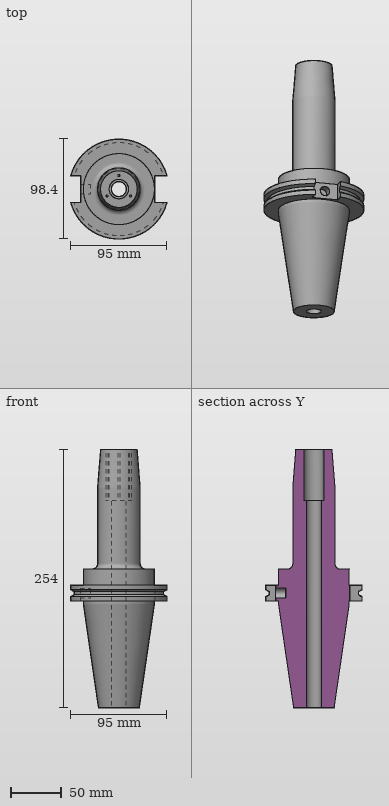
import cadquery as cq
import math

GAUGE_LENGTH = 152.4
GAUGE_DIAMETER = 69.85
TAPER_LENGTH = 101.6
TAPER_RATIO = 7 / 24

FLANGE_DIAMETER = 98.425
FLANGE_BOTTOM = 3.175
FLANGE_TOP = 19.05
GROOVE_CENTER = 11.05
GROOVE_OPENING = 6.9
GROOVE_DEPTH = 3.4
GROOVE_HALF_ANGLE = 30

COLLAR_TOP = 35.0
SHANK_DIAMETER = 42.0
SHANK_FILLET = 5.0
NOSE_LENGTH = 37.7
NOSE_TIP_DIAMETER = 36.0

SLOT_WIDTH = 25.91
SLOT_FLOOR_MINUS_X = 37.7
SLOT_FLOOR_PLUS_X = 35.3
SLOT_HOLE_DIAMETER = 9.4
SLOT_HOLE_DEPTH = 10.0

TOOL_BORE_DIAMETER = 19.05
TOOL_BORE_DEPTH = 50.0
THROUGH_BORE_DIAMETER = 14.5

COOLANT_COUNT = 3
COOLANT_DIAMETER = 2.0
COOLANT_CIRCLE_RADIUS = 13.4
COOLANT_DEPTH = 50.0
COOLANT_START_ANGLE = 90


def make_body():
    """Revolve the half profile of the holder about Z."""
    gauge_radius = GAUGE_DIAMETER / 2
    taper_end_radius = gauge_radius - TAPER_LENGTH * TAPER_RATIO / 2
    flange_radius = FLANGE_DIAMETER / 2
    shank_radius = SHANK_DIAMETER / 2
    fillet_shift = SHANK_FILLET * (1 - math.sqrt(0.5))
    return (
        cq.Workplane("XZ")
        .moveTo(0, -TAPER_LENGTH)
        .lineTo(taper_end_radius, -TAPER_LENGTH)
        .lineTo(gauge_radius, 0)
        .lineTo(gauge_radius, FLANGE_BOTTOM)
        .lineTo(flange_radius, FLANGE_BOTTOM)
        .lineTo(flange_radius, FLANGE_TOP)
        .lineTo(gauge_radius, FLANGE_TOP)
        .lineTo(gauge_radius, COLLAR_TOP)
        .lineTo(shank_radius + SHANK_FILLET, COLLAR_TOP)
        .threePointArc(
            (shank_radius + fillet_shift, COLLAR_TOP + fillet_shift),
            (shank_radius, COLLAR_TOP + SHANK_FILLET),
        )
        .lineTo(shank_radius, GAUGE_LENGTH - NOSE_LENGTH)
        .lineTo(NOSE_TIP_DIAMETER / 2, GAUGE_LENGTH)
        .lineTo(0, GAUGE_LENGTH)
        .close()
        .revolve(360, (0, 0, 0), (0, 1, 0))
    )


def make_groove():
    """Ring that cuts the flat-bottomed V-groove around the flange."""
    rim = FLANGE_DIAMETER / 2
    root = rim - GROOVE_DEPTH
    half_opening = GROOVE_OPENING / 2
    half_floor = half_opening - GROOVE_DEPTH * math.tan(math.radians(GROOVE_HALF_ANGLE))
    return (
        cq.Workplane("XZ")
        .moveTo(rim, GROOVE_CENTER - half_opening)
        .lineTo(root, GROOVE_CENTER - half_floor)
        .lineTo(root, GROOVE_CENTER + half_floor)
        .lineTo(rim, GROOVE_CENTER + half_opening)
        .close()
        .revolve(360, (0, 0, 0), (0, 1, 0))
    )


def make_slot(side, floor):
    """Block that cuts one drive slot; side is -1 or +1 along X."""
    reach = FLANGE_DIAMETER / 2
    thickness = FLANGE_TOP - FLANGE_BOTTOM
    return (
        cq.Workplane("XY", origin=(side * (floor + reach / 2), 0, FLANGE_BOTTOM))
        .box(reach, SLOT_WIDTH, thickness, centered=(True, True, False))
    )


def make_slot_hole():
    """Round blind hole in the floor of the -X drive slot."""
    return (
        cq.Workplane("YZ", origin=(-SLOT_FLOOR_MINUS_X, 0, GROOVE_CENTER))
        .circle(SLOT_HOLE_DIAMETER / 2)
        .extrude(SLOT_HOLE_DEPTH)
    )


def make_bores():
    """Through bore with the wider tool bore at the nose."""
    nose_face = cq.Workplane("XY", origin=(0, 0, GAUGE_LENGTH))
    through_bore = nose_face.circle(THROUGH_BORE_DIAMETER / 2).extrude(-GAUGE_LENGTH - TAPER_LENGTH)
    tool_bore = nose_face.circle(TOOL_BORE_DIAMETER / 2).extrude(-TOOL_BORE_DEPTH)
    return through_bore.union(tool_bore)


def make_coolant_holes():
    """Blind holes evenly spaced around the tool bore."""
    return (
        cq.Workplane("XY", origin=(0, 0, GAUGE_LENGTH))
        .polarArray(COOLANT_CIRCLE_RADIUS, COOLANT_START_ANGLE, 360, COOLANT_COUNT)
        .circle(COOLANT_DIAMETER / 2)
        .extrude(-COOLANT_DEPTH)
    )


result = (
    make_body()
    .cut(make_groove())
    .cut(make_slot(-1, SLOT_FLOOR_MINUS_X))
    .cut(make_slot(1, SLOT_FLOOR_PLUS_X))
    .cut(make_slot_hole())
    .cut(make_bores())
    .cut(make_coolant_holes())
)